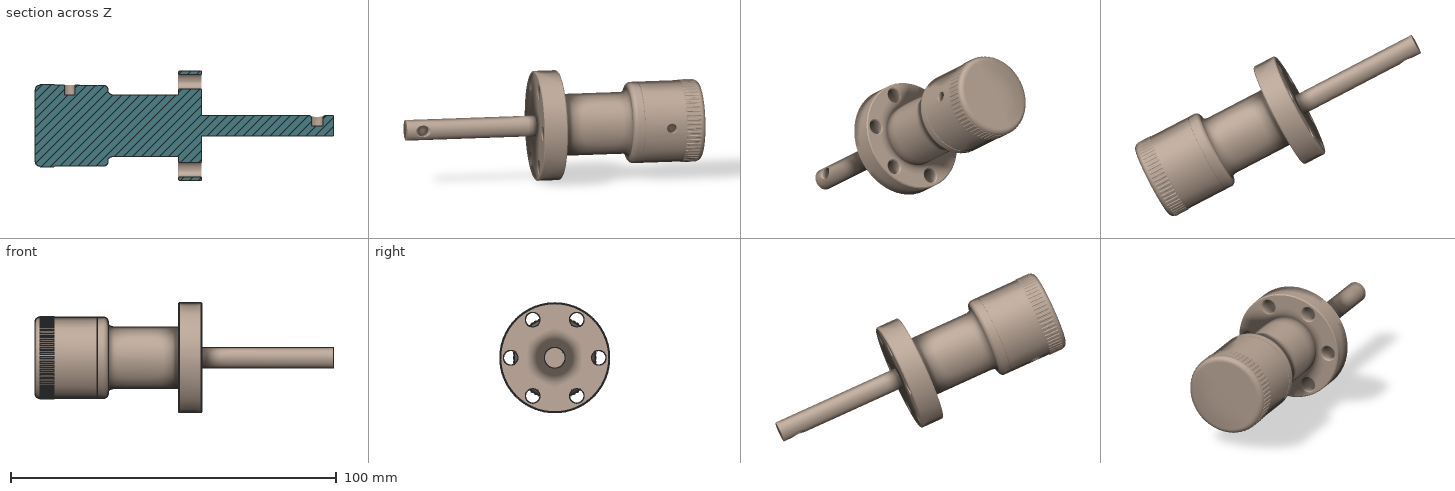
import cadquery as cq
import math

total_length = 91.64

head_radius = 12.5
front_fillet = 1.5
shoulder_start = 21.0
shoulder_fillet = 1.5
groove_x = 19.1
groove_width = 0.25
groove_depth = 0.2

knurl_start = front_fillet
knurl_end = 5.9
knurl_radius = 12.7
tooth_count = 58
tooth_pitch_angle = 2 * math.pi / tooth_count
tooth_crest_angle = 0.35 * tooth_pitch_angle
tooth_root_angle = 0.4 * tooth_pitch_angle

neck_radius = 9.5
neck_flare_length = 1.7
neck_flare_height = 0.8
neck_flare_radius = (neck_flare_length**2 + neck_flare_height**2) / (2 * neck_flare_height)

flange_radius = 33.78 / 2
flange_start = 44.0
flange_thickness = 7.25
flange_chamfer = 0.3
bolt_count = 6
bolt_circle_radius = 13.5
bolt_hole_diameter = 4.4
bolt_countersink = 0.3

rod_radius = 6.35 / 2

head_hole_x = 10.7
head_hole_diameter = 3.0
head_countersink_diameter = 3.3
head_hole_depth = 3.0
rod_hole_x = total_length - 5.0
rod_hole_diameter = 3.5
rod_countersink_diameter = 4.7
rod_hole_depth = rod_radius


def cylinder(start, length, radius):
    """A cylinder on the X axis, with its seam at +Z."""
    plane = cq.Plane(origin=(start, 0, 0), xDir=(0, 0, 1), normal=(1, 0, 0))
    return cq.Workplane(plane).circle(radius).extrude(length)


def make_head_and_neck():
    """Head, rounded shoulder and flared neck, revolved from half of the profile."""
    flare_start = shoulder_start + shoulder_fillet
    flare_end = flare_start + neck_flare_length
    return (
        cq.Workplane("XZ")
        .moveTo(0, 0)
        .lineTo(0, head_radius - front_fillet)
        .radiusArc((front_fillet, head_radius), front_fillet)
        .lineTo(shoulder_start, head_radius)
        .radiusArc((flare_start, head_radius - shoulder_fillet), shoulder_fillet)
        .lineTo(flare_start, neck_radius + neck_flare_height)
        .radiusArc((flare_end, neck_radius), -neck_flare_radius)
        .lineTo(flange_start, neck_radius)
        .lineTo(flange_start, 0)
        .close()
        .revolve(360, (0, 0, 0), (1, 0, 0))
    )


def make_head_groove():
    """Ring to remove for the narrow groove near the shoulder."""
    start = groove_x - groove_width / 2
    outer = cylinder(start, groove_width, head_radius + groove_depth)
    return outer.cut(cylinder(start, groove_width, head_radius - groove_depth))


def polar(radius, angle):
    """Point at a radius and an angle from +Y in a plane across the axis."""
    return (radius * math.cos(angle), radius * math.sin(angle))


def make_knurled_band():
    """Band of straight trapezoidal teeth that stand on the head surface, one crest facing +Y."""
    outline = []
    for index in range(tooth_count):
        crest_middle = index * tooth_pitch_angle
        root_middle = crest_middle + tooth_pitch_angle / 2
        outline += [
            polar(knurl_radius, crest_middle - tooth_crest_angle / 2),
            polar(knurl_radius, crest_middle + tooth_crest_angle / 2),
            polar(head_radius, root_middle - tooth_root_angle / 2),
            polar(head_radius, root_middle + tooth_root_angle / 2),
        ]
    band = cq.Workplane("YZ", origin=(knurl_start, 0, 0)).polyline(outline).close()
    return band.extrude(knurl_end - knurl_start)


def make_flange():
    """Flange disc with chamfered rims and a ring of countersunk through holes."""
    hole_radius = bolt_hole_diameter / 2
    disc = cylinder(flange_start, flange_thickness, flange_radius).edges().chamfer(flange_chamfer)
    countersink = cq.Solid.makeCone(
        hole_radius + bolt_countersink,
        hole_radius,
        bolt_countersink,
        pnt=cq.Vector(flange_start, 0, 0),
        dir=cq.Vector(1, 0, 0),
    )
    cutter = cylinder(flange_start, flange_thickness, hole_radius).union(cq.Workplane(countersink))
    cutter = cutter.translate((0, bolt_circle_radius, 0))
    for index in range(bolt_count):
        disc = disc.cut(cutter.rotate((0, 0, 0), (1, 0, 0), index * 360 / bolt_count))
    return disc


def make_side_hole(x, surface_radius, diameter, countersink_diameter, depth):
    """Body to remove for a blind radial hole with a 45 degree countersink, entering from +Y."""
    radius = diameter / 2
    countersink_radius = countersink_diameter / 2
    bottom = surface_radius - depth
    countersink_bottom = surface_radius - (countersink_radius - radius)
    return (
        cq.Workplane("XY")
        .moveTo(x, bottom)
        .lineTo(x + radius, bottom)
        .lineTo(x + radius, countersink_bottom)
        .lineTo(x + countersink_radius, surface_radius)
        .lineTo(x, surface_radius)
        .close()
        .revolve(360, (x, 0, 0), (x, 1, 0))
    )


flange_end = flange_start + flange_thickness
head_hole = make_side_hole(
    head_hole_x, head_radius, head_hole_diameter, head_countersink_diameter, head_hole_depth
)
rod_hole = make_side_hole(
    rod_hole_x, rod_radius, rod_hole_diameter, rod_countersink_diameter, rod_hole_depth
)
result = (
    make_head_and_neck()
    .cut(make_head_groove())
    .union(make_knurled_band())
    .union(make_flange())
    .union(cylinder(flange_end, total_length - flange_end, rod_radius))
    .cut(head_hole)
    .cut(rod_hole)
)